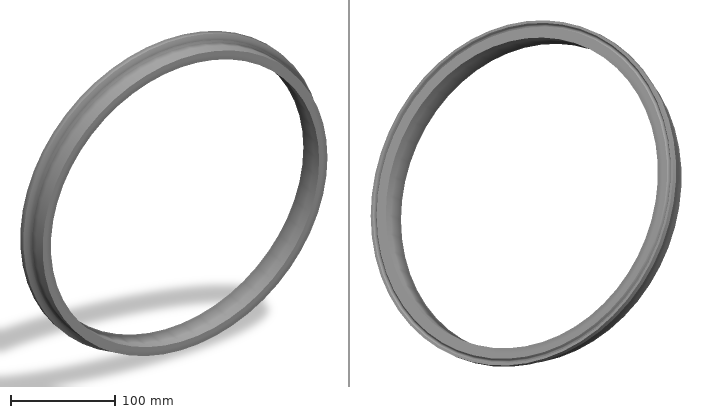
import cadquery as cq

width = 28.0
flange_radius = 169.2
tube_radius = 161.8
bore_radius = 152.3

rim_width = 5.8
cone_end = 8.5
root_fillet = 2.5

groove_radius = 164.68
groove_mouth = 4.0
groove_floor = 2.0
wall_depth = 1.7
groove_depth = 2.5

axis_start = (0, 0, 0)
axis_end = (1, 0, 0)


def make_ring():
    section = [
        (0, bore_radius),
        (0, flange_radius),
        (rim_width, flange_radius),
        (cone_end, tube_radius),
        (width, tube_radius),
        (width, bore_radius),
    ]
    ring = cq.Workplane("XY").polyline(section).close().revolve(360, axis_start, axis_end)

    margin = 0.5
    root = cq.selectors.BoxSelector(
        (cone_end - margin, -flange_radius, -flange_radius),
        (cone_end + margin, flange_radius, flange_radius),
    )
    return ring.edges(root).fillet(root_fillet)


def make_groove():
    section = (
        cq.Workplane("XY")
        .moveTo(0, groove_radius - groove_mouth / 2)
        .lineTo(wall_depth, groove_radius - groove_floor / 2)
        .threePointArc(
            (groove_depth, groove_radius),
            (wall_depth, groove_radius + groove_floor / 2),
        )
        .lineTo(0, groove_radius + groove_mouth / 2)
        .close()
    )
    return section.revolve(360, axis_start, axis_end)


result = make_ring().cut(make_groove())